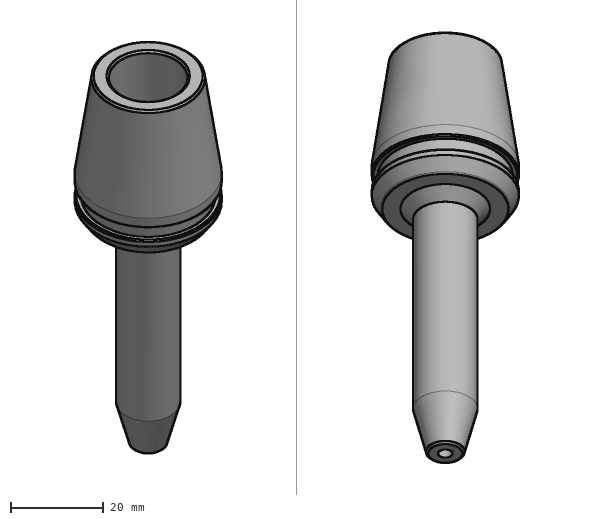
import cadquery as cq
import math

total_height = 101.6
tip_taper_top = 11.6
stem_top = 60.8
head_bottom = 63.6
flange_bottom = 67.0
groove_bottom = 68.7
groove_top = 72.1
body_band_top = 74.9

tip_diameter = 8.4
stem_diameter = 14.02
collar_diameter = 19.4
head_bottom_diameter = 28.0
head_diameter = 31.88
groove_diameter = 29.26
head_top_diameter = 24.6

tip_chamfer = 0.5
head_bottom_chamfer = 0.35
flange_chamfer = 0.35
head_top_chamfer = 0.5

bore_diameter = 17.02
bore_chamfer = 0.5
bore_depth = 30.0
bore_floor_diameter = 9.46
bore_cone_slope = 30.0
upper_hole_diameter = 4.7
upper_hole_depth = 20.0
upper_hole_cone_slope = 45.0
through_hole_diameter = 3.17


def revolve_profile(points):
    """Revolve a closed (radius, height) profile about the Z axis."""
    return cq.Workplane("YZ").polyline(points).close().revolve(360, (0, 0, 0), (0, 1, 0))


def cone_height(large_diameter, small_diameter, slope):
    """Height of a cone between two diameters, its slope measured from horizontal."""
    return (large_diameter - small_diameter) / 2 * math.tan(math.radians(slope))


def make_outer_body():
    """Tapered-tip stem carrying a grooved, conical head."""
    tip_radius = tip_diameter / 2
    stem_radius = stem_diameter / 2
    head_bottom_radius = head_bottom_diameter / 2
    head_radius = head_diameter / 2
    groove_radius = groove_diameter / 2
    top_radius = head_top_diameter / 2
    return revolve_profile([
        (0, 0),
        (tip_radius - tip_chamfer, 0),
        (tip_radius, tip_chamfer),
        (stem_radius, tip_taper_top),
        (stem_radius, stem_top),
        (collar_diameter / 2, head_bottom),
        (head_bottom_radius - head_bottom_chamfer, head_bottom),
        (head_bottom_radius, head_bottom + head_bottom_chamfer),
        (head_radius, flange_bottom),
        (head_radius, groove_bottom - flange_chamfer),
        (head_radius - flange_chamfer, groove_bottom),
        (groove_radius, groove_bottom),
        (groove_radius, groove_top),
        (head_radius - flange_chamfer, groove_top),
        (head_radius, groove_top + flange_chamfer),
        (head_radius, body_band_top),
        (top_radius, total_height - head_top_chamfer),
        (top_radius - head_top_chamfer, total_height),
        (0, total_height),
    ])


def make_bore():
    """Chamfered bore with a conical floor, a narrower cone-ended hole, then the through hole."""
    bore_radius = bore_diameter / 2
    upper_hole_radius = upper_hole_diameter / 2
    through_hole_radius = through_hole_diameter / 2
    cone_top = total_height - bore_depth
    bore_floor = cone_top - cone_height(bore_diameter, bore_floor_diameter, bore_cone_slope)
    upper_hole_floor = bore_floor - upper_hole_depth
    through_hole_top = upper_hole_floor - cone_height(
        upper_hole_diameter, through_hole_diameter, upper_hole_cone_slope)
    return revolve_profile([
        (0, 0),
        (through_hole_radius, 0),
        (through_hole_radius, through_hole_top),
        (upper_hole_radius, upper_hole_floor),
        (upper_hole_radius, bore_floor),
        (bore_floor_diameter / 2, bore_floor),
        (bore_radius, cone_top),
        (bore_radius, total_height - bore_chamfer),
        (bore_radius + bore_chamfer, total_height),
        (0, total_height),
    ])


result = make_outer_body().cut(make_bore())